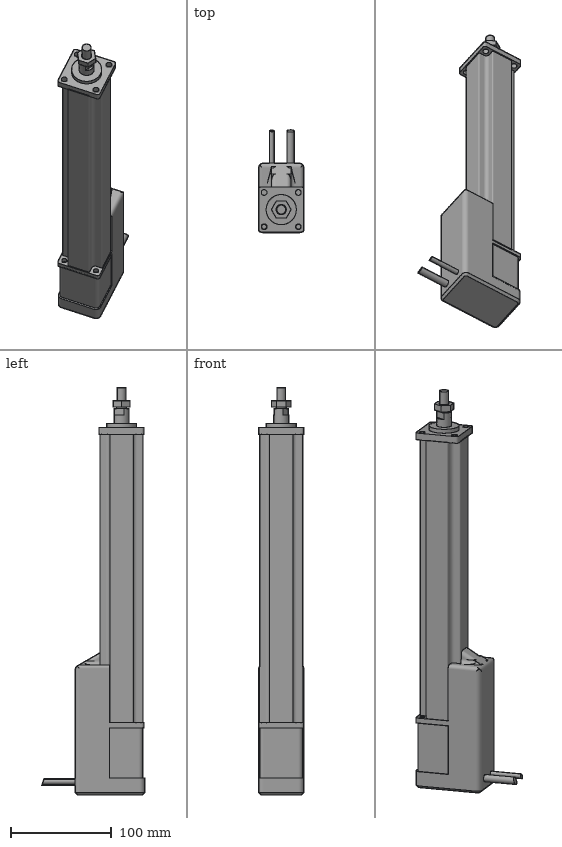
import cadquery as cq
import math


total_height = 405.5
cap_top = 17.0
plate_bottom = 67.0
plate_top = 72.0
motor_box_top = 129.5
flange_bottom = 359.0
flange_top = 365.8
boss_top = 370.0
collar_flat_bottom = 378.0
collar_top = 384.5
nut_bottom = 386.0
nut_top = 392.5

width = 45.0
half_width = width / 2
cap_front_y = -23.0
box_front_y = 12.0
box_back_y = 46.2
box_corner_radius = 5.0
box_side_radius = 3.5
base_chamfer = 2.5
lower_case_width = 42.5
lower_case_radius = 4.0

rib_half_width = 9.7
rib_radius = 4.0
rib_root_depth = 12.0
rib_slope = math.radians(30)

tube_width = 43.0
notch_edge = 11.8
notch_fillet = 3.5
tube_edge_radius = 1.2

plate_corner_radius = 2.5
bolt_offset = 17.0
flange_hole_diameter = 5.5
plate_hole_diameter = 5.0
boss_diameter = 30.0

cable_offset = 9.5
power_cable_diameter = 7.5
signal_cable_diameter = 5.0
cable_height = 13.0
cable_tip_y = 79.5
cable_end_slant = 2.5

collar_diameter = 15.0
collar_across_flats = 10.0
collar_flat_angle = -30
neck_diameter = 10.0
thread_diameter = 9.0
nut_across_flats = 17.0
nut_bore_chamfer = (neck_diameter - thread_diameter) / 2


def block(x_size, y_min, y_max, z_min, z_max):
    """Box centred on X = 0 between the given Y and Z limits."""
    return (
        cq.Workplane("XY", origin=(0, (y_min + y_max) / 2, z_min))
        .rect(x_size, y_max - y_min)
        .extrude(z_max - z_min)
    )


def cylinder(diameter, z_min, z_max):
    """Upright cylinder on the rod axis."""
    return cq.Workplane("XY", origin=(0, 0, z_min)).circle(diameter / 2).extrude(z_max - z_min)


def bolt_holes(diameter, z_min, z_max):
    """Four upright cylinders at the corner bolt positions."""
    return (
        cq.Workplane("XY", origin=(0, 0, z_min))
        .rect(2 * bolt_offset, 2 * bolt_offset, forConstruction=True)
        .vertices()
        .circle(diameter / 2)
        .extrude(z_max - z_min)
    )


def make_end_cap():
    cap = block(width, cap_front_y, box_back_y, 0, cap_top)
    return cap.edges("|Z").fillet(box_corner_radius).faces("<Z").edges().chamfer(base_chamfer)


def make_motor_box():
    """Motor housing with its side, back and top edges rounded."""
    box = block(width, box_front_y, box_back_y, cap_top, motor_box_top)
    uprights = box.edges("|Z and >Y").fillet(box_corner_radius)
    side_rounded = block(width, box_front_y, box_back_y, cap_top, motor_box_top)
    side_rounded = side_rounded.faces(">Z").edges("|Y").fillet(box_side_radius)
    back_rounded = block(width, box_front_y, box_back_y, cap_top, motor_box_top)
    back_rounded = back_rounded.edges(">Z and >Y").fillet(box_corner_radius)
    return uprights.intersect(side_rounded).intersect(back_rounded)


def rib_wedge(half_width):
    """Wedge whose slope leaves the rounded back edge of the motor housing tangentially."""
    arc_center_y = box_back_y - box_corner_radius
    arc_center_z = motor_box_top - box_corner_radius
    toe_y = arc_center_y + box_corner_radius * math.sin(rib_slope)
    toe_z = arc_center_z + box_corner_radius * math.cos(rib_slope)
    root_z = motor_box_top - rib_root_depth
    top_y = tube_width / 2
    top_z = toe_z + (toe_y - top_y) * math.tan(rib_slope)
    return (
        cq.Workplane("YZ", origin=(-half_width, 0, 0))
        .moveTo(toe_y, root_z)
        .lineTo(toe_y, toe_z)
        .lineTo(top_y, top_z)
        .lineTo(top_y, root_z)
        .close()
        .extrude(2 * half_width)
    )


def make_rib():
    """Sloped rib with rounded top edges and a concave flare along its foot."""
    slope_edges = "not(|X or |Y or |Z)"
    rib = rib_wedge(rib_half_width).edges(slope_edges).fillet(rib_radius)
    foot = rib_half_width + rib_radius
    bevel_drop = rib_radius
    bevel_width = 2 * rib_radius
    flare_roof = rib_wedge(foot).edges(slope_edges).chamfer(bevel_drop, bevel_width)
    flare = (
        cq.Workplane("XZ", origin=(0, tube_width / 2, motor_box_top))
        .moveTo(-foot, 0)
        .radiusArc((-rib_half_width, rib_radius), -rib_radius)
        .lineTo(rib_half_width, rib_radius)
        .radiusArc((foot, 0), -rib_radius)
        .close()
        .extrude(tube_width / 2 - box_back_y)
    )
    return rib.union(flare.intersect(flare_roof))


def make_lower_case():
    case = block(lower_case_width, -lower_case_width / 2, box_front_y, cap_top, plate_bottom)
    return case.edges("|Z and <Y").fillet(lower_case_radius)


def make_lower_plate():
    plate = block(width, -half_width, box_front_y, plate_bottom, plate_top)
    plate = plate.edges("|Z and <Y").fillet(plate_corner_radius)
    return plate.cut(bolt_holes(plate_hole_diameter, plate_bottom, plate_top))


def make_tube():
    """Square tube profile with a filleted notch along each corner."""
    tube = cq.Workplane("XY", origin=(0, 0, plate_top)).rect(tube_width, tube_width)
    tube = tube.extrude(flange_bottom - plate_top)
    notch_size = tube_width / 2 - notch_edge
    notch_center = tube_width - notch_size
    notches = (
        cq.Workplane("XY", origin=(0, 0, plate_top))
        .rect(notch_center, notch_center, forConstruction=True)
        .vertices()
        .rect(notch_size, notch_size)
        .extrude(flange_bottom - plate_top)
    )
    tube = tube.cut(notches)
    reach = notch_edge + tube_edge_radius
    inner_edges = cq.selectors.BoxSelector((-reach, -reach, 0), (reach, reach, total_height))
    tube = tube.edges("|Z").edges(inner_edges).fillet(notch_fillet)
    outer_corners = tube.edges("|Z").edges("<X or >X or <Y or >Y")
    tube = outer_corners.fillet(tube_edge_radius)
    return tube


def make_flange():
    flange = block(width, -half_width, half_width, flange_bottom, flange_top)
    flange = flange.edges("|Z").fillet(plate_corner_radius)
    flange = flange.union(cylinder(boss_diameter, flange_top, boss_top))
    return flange.cut(bolt_holes(flange_hole_diameter, flange_bottom, flange_top))


def make_cable(x, diameter):
    """Cable leaving the back of the cap; one slanted plane ends both cables, longest at the underside."""
    start_y = box_back_y - base_chamfer
    cable = (
        cq.Workplane("XZ", origin=(x, start_y, cable_height))
        .circle(diameter / 2)
        .extrude(start_y - cable_tip_y)
    )
    low = cable_height - power_cable_diameter / 2
    high = cable_height + power_cable_diameter / 2
    slant = (
        cq.Workplane("YZ", origin=(x - diameter, 0, 0))
        .moveTo(cable_tip_y, low)
        .lineTo(cable_tip_y, high)
        .lineTo(cable_tip_y - cable_end_slant, high)
        .close()
        .extrude(2 * diameter)
    )
    return cable.cut(slant)


def make_housing():
    housing = make_end_cap()
    parts = [
        make_motor_box(),
        make_lower_case(),
        make_lower_plate(),
        make_tube(),
        make_rib(),
        make_flange(),
        make_cable(-cable_offset, signal_cable_diameter),
        make_cable(cable_offset, power_cable_diameter),
    ]
    for part in parts:
        housing = housing.union(part)
    return housing


def make_rod():
    """Rod end: collar with two wrench flats, short neck and threaded tip."""
    flat_height = collar_top - collar_flat_bottom
    flats = (
        cq.Workplane("XY", origin=(0, 0, collar_flat_bottom))
        .rect(collar_across_flats, 2 * collar_diameter)
        .extrude(flat_height)
        .rotate((0, 0, 0), (0, 0, 1), collar_flat_angle)
    )
    rod = cylinder(collar_diameter, boss_top, collar_flat_bottom)
    rod = rod.union(cylinder(collar_diameter, collar_flat_bottom, collar_top).intersect(flats))
    rod = rod.union(cylinder(neck_diameter, collar_top, nut_bottom))
    return rod.union(cylinder(thread_diameter, nut_bottom, total_height))


def make_nut():
    """Hexagonal lock nut with two corners on the X axis."""
    across_corners = nut_across_flats / math.cos(math.pi / 6)
    nut = (
        cq.Workplane("XY", origin=(0, 0, nut_bottom))
        .polygon(6, across_corners)
        .circle(thread_diameter / 2)
        .extrude(nut_top - nut_bottom)
    )
    return nut.faces(">Z").edges("%CIRCLE").chamfer(nut_bore_chamfer)


housing = make_housing()
rod = make_rod()
nut = make_nut()

result = cq.Compound.makeCompound([housing.val(), rod.val(), nut.val()])